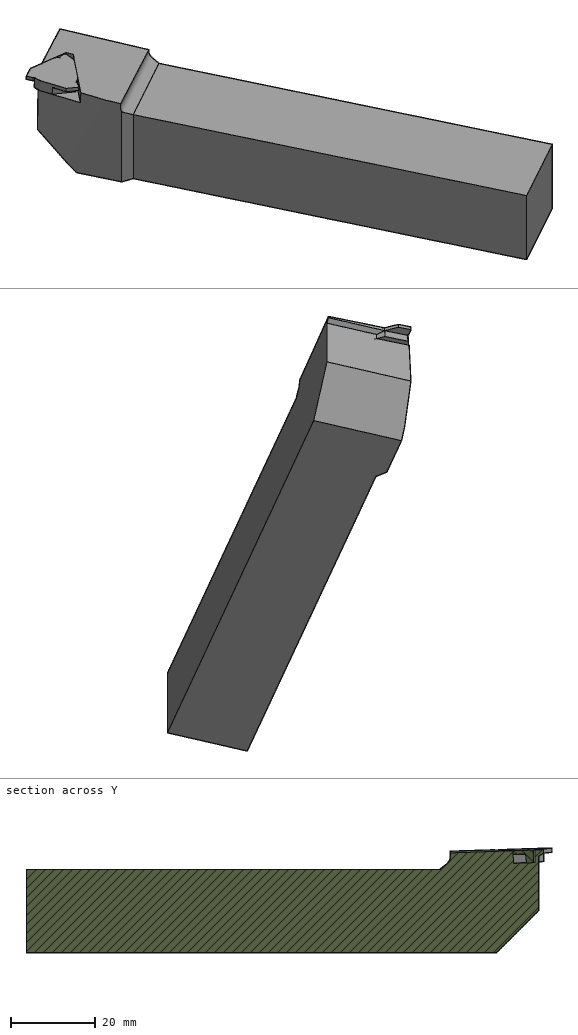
import cadquery as cq
import math

total_length = 125.0
shank_width = 20.0
shank_height = 19.9

head_blank_top = 26.2
head_overhang = 2.0
head_end = 24.5
head_back = 24.2
neck_top = 21.9
neck_radius = 2.1
shank_start = 26.8
nose_face = 3.1
lip_face = 2.0
lip_bottom = 23.8
lip_root = 23.0
bevel_size = 10.1

hinge_bottom = (10.9, 2.4)
hinge_top = (20.6, 24.4)
relief_slope = 1.1 / 11.8
relief_reach = 50.0

corner_count = 3
insert_center = (6.4, 4.0)
insert_thickness = 3.0
blade_thickness = 1.0
edge_width = 3.1
blade_length = 1.8
corner_setback = 2.0
notch_tip = (2.0, 0.2)
notch_mid = (2.8, -0.19)
notch_end = (3.8, -0.5)

pocket_back = 11.9
pocket_relief_x = 8.0
clearance = 6.2

tip_height = 25.0
top_tilt = math.radians(2)
top_fall = math.tan(top_tilt)
tip_inset = blade_thickness * math.sin(top_tilt)
top_plane = cq.Plane(
    origin=(tip_inset, 0, tip_height),
    xDir=(1, 0, -top_fall),
    normal=(top_fall, top_fall, 1),
)


def at_corner(point, index):
    """Turn a point of the cutting corner about the insert centre to another corner."""
    angle = index * 2 * math.pi / corner_count
    dx = point[0] - insert_center[0]
    dy = point[1] - insert_center[1]
    return (
        insert_center[0] + dx * math.cos(angle) - dy * math.sin(angle),
        insert_center[1] + dx * math.sin(angle) + dy * math.cos(angle),
    )


def turn_to_corner(shape, index):
    axis_start = (*insert_center, 0)
    axis_end = (*insert_center, 1)
    return shape.rotate(axis_start, axis_end, index * 360 / corner_count)


def line_at_x(start, end, x):
    return (x, start[1] + (x - start[0]) * (end[1] - start[1]) / (end[0] - start[0]))


def line_at_y(start, end, y):
    return (start[0] + (y - start[1]) * (end[0] - start[0]) / (end[1] - start[1]), y)


def place_on_top_plane(shape):
    """Move a shape modelled with Z = 0 on its upper face onto the slanted top plane."""
    return cq.Workplane("XY").newObject([shape.val().moved(cq.Location(top_plane))])


def make_insert():
    outline = cq.Workplane("XY").moveTo(0, edge_width)
    for index in range(corner_count):
        if index > 0:
            outline = outline.lineTo(*at_corner((0, edge_width), index))
        outline = outline.lineTo(*at_corner((0, 0), index))
        outline = outline.lineTo(*at_corner((blade_length, 0), index))
        outline = outline.lineTo(*at_corner(notch_tip, index))
        outline = outline.threePointArc(at_corner(notch_mid, index), at_corner(notch_end, index))
    body = outline.close().extrude(-insert_thickness)

    undercut = (
        cq.Workplane("XY")
        .box(
            corner_setback + clearance,
            edge_width + 2 * clearance,
            insert_thickness - blade_thickness,
            centered=False,
        )
        .translate((-clearance, -clearance, -insert_thickness))
    )
    for index in range(corner_count):
        body = body.cut(turn_to_corner(undercut, index))
    return place_on_top_plane(body)


def make_blank():
    profile = (
        cq.Workplane("XZ", origin=(0, shank_width, 0))
        .moveTo(total_length, 0)
        .lineTo(total_length, shank_height)
        .lineTo(shank_start, shank_height)
        .lineTo(head_back, neck_top)
        .lineTo(head_back, head_blank_top)
        .lineTo(lip_face, head_blank_top)
        .lineTo(lip_face, lip_bottom)
        .lineTo(nose_face, lip_root)
        .lineTo(nose_face, bevel_size)
        .lineTo(nose_face + bevel_size, 0)
        .close()
        .extrude(shank_width + head_overhang)
    )
    middle_y = (shank_width - head_overhang) / 2
    neck_corner = cq.selectors.NearestToPointSelector((head_back, middle_y, neck_top))
    profile = profile.edges("|Y").edges(neck_corner).fillet(neck_radius)
    plan = (
        cq.Workplane("XY")
        .polyline([
            (0, shank_width),
            (0, -head_overhang),
            (head_end, -head_overhang),
            (shank_start, 0),
            (total_length, 0),
            (total_length, shank_width),
        ])
        .close()
        .extrude(head_blank_top)
    )
    return profile.intersect(plan)


def make_top_cut():
    cut_length = shank_start
    cut_width = shank_width + head_overhang + 2 * clearance
    block = cq.Workplane("XY").box(cut_length, cut_width, clearance, centered=False)
    return place_on_top_plane(block.translate((0, -head_overhang - clearance, 0)))


def make_front_relief():
    run = hinge_top[0] - hinge_bottom[0]
    rise = hinge_top[1] - hinge_bottom[1]
    plane = cq.Plane(
        origin=(hinge_bottom[0], -head_overhang, hinge_bottom[1]),
        xDir=(-rise, 0, run),
        normal=(run, 0, rise),
    )
    return (
        cq.Workplane(plane)
        .polyline([(0, 0), (relief_reach, -relief_reach * relief_slope), (relief_reach, 0)])
        .close()
        .extrude(relief_reach, both=True)
    )


def make_pocket():
    last = corner_count - 1
    end_land = (0, edge_width)
    end_wall_contact = at_corner(notch_end, last)
    inner_land = at_corner((0, edge_width), last)
    side_wall_contact = at_corner(notch_end, 1)
    pocket = (
        cq.Workplane("XY")
        .workplane(offset=-insert_thickness)
        .polyline([
            line_at_x(end_land, end_wall_contact, -clearance),
            line_at_y(end_land, end_wall_contact, pocket_back),
            (pocket_relief_x, pocket_back),
            inner_land,
            line_at_y(inner_land, side_wall_contact, -clearance),
            (-clearance, -clearance),
        ])
        .close()
        .extrude(clearance)
    )
    return place_on_top_plane(pocket)


insert = make_insert()
holder = make_blank().cut(make_top_cut()).cut(make_front_relief()).cut(make_pocket())

result = cq.Compound.makeCompound([holder.solids().val(), insert.solids().val()])